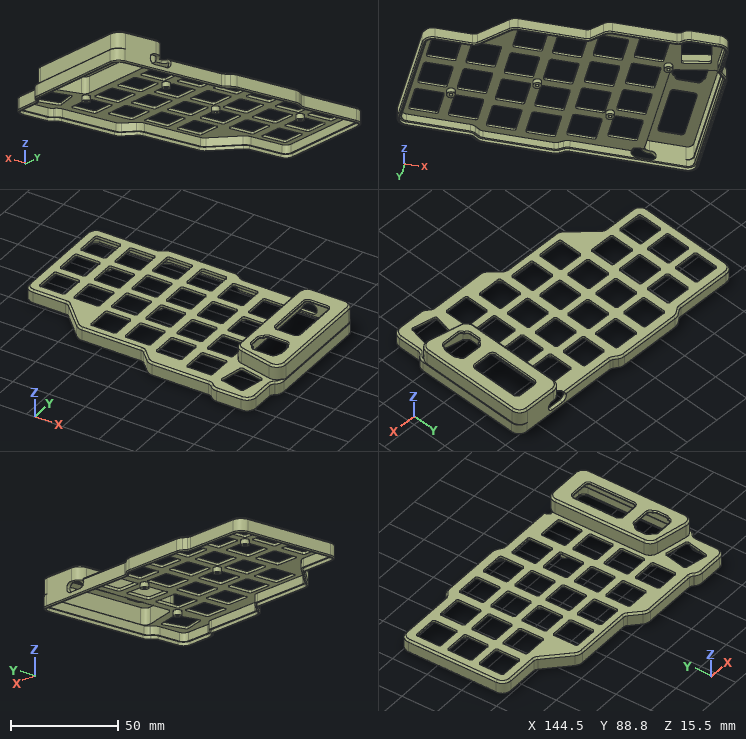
import cadquery as cq
import math

length_x = 144.5
length_y = 88.8
height = 15.5

plate_height = 7.5
plate_thickness = 1.5
wall = 2.0
rim_wall = 1.2
rim_depth = 1.7
top_chamfer = 1.0
bottom_chamfer = 0.6

corner_radius = 5.0
step_outer_radius = 5.5
step_inner_radius = 2.9
back_y = 86.0
left_front_y = 25.3
middle_front_y = 10.4
right_front_y = 2.9
left_step_x = 24.3
middle_step_x = 75.1
right_step_x = 117.0
thumb_side_x = 140.8
thumb_side_y = 18.5
right_side_y = 21.0
back_bump_left_x = 40.7
back_bump_right_x = 78.3
back_bump_slope_run = 4.2

key_size = 14.0
key_radius = 1.0
column_pitch = 18.9
row_pitch = 18.0
first_column_x = 12.3
columns = [(73.4, 3), (73.4, 3), (76.1, 4), (76.1, 4), (73.4, 4), (70.0, 4)]
thumb_key_centre = (127.7, 13.5)
thumb_angle = -12.0

block_left_x = 116.4
block_right_x = 144.2
block_left_front_y = 25.5
block_thickness = 1.0
opening_chamfer = 0.6
opening_radius = 1.7
window_centre = (130.0, 62.5)
window_length = 29.5
knob_centre = (130.0, 34.7)
knob_slot_centre = (129.5, 34.7)
knob_slot_length = 16.9
knob_slot_width = 10.1
knob_slot_radius = 2.0

post_diameter = 4.0
pilot_diameter = 1.6
post_bottom_z = 3.6
post_centres = [(21.8, 64.3), (59.7, 49.1), (97.5, 61.5), (116.9, 24.8)]

port_width = 12.0
port_left_x = 112.8
port_depth = 4.5
port_bottom_z = 2.6
port_top_z = 8.0
port_radius = 2.6


def rounded_outline(corners):
    """Closed wire at Z = 0 through (x, y, radius) corners listed in order."""
    points = [cq.Vector(x, y, 0) for x, y, _ in corners]
    arcs = []
    for i, corner in enumerate(points):
        radius = corners[i][2]
        to_previous = (points[i - 1] - corner).normalized()
        to_next = (points[(i + 1) % len(points)] - corner).normalized()
        half_angle = to_previous.getAngle(to_next) / 2
        setback = radius / math.tan(half_angle)
        bisector = (to_previous + to_next).normalized()
        middle = corner + bisector * (radius / math.sin(half_angle) - radius)
        arcs.append((corner + to_previous * setback, middle, corner + to_next * setback))
    edges = []
    for i, (start, middle, end) in enumerate(arcs):
        previous_end = arcs[i - 1][2]
        edges.append(cq.Edge.makeLine(previous_end, start))
        edges.append(cq.Edge.makeThreePointArc(start, middle, end))
    return cq.Wire.assembleEdges(edges)


def prism(wire, depth):
    """Upright solid over a closed wire."""
    return cq.Workplane(cq.Solid.extrudeLinear(wire, [], cq.Vector(0, 0, depth)))


def rounded_rectangle(size_x, size_y, radius):
    return cq.Sketch().rect(size_x, size_y).vertices().fillet(radius)


def key_cutter(centre, angle=0):
    """Cutter for one square key opening."""
    square = rounded_rectangle(key_size, key_size, key_radius)
    cutter = cq.Workplane("XY").placeSketch(square).extrude(height)
    return cutter.rotate((0, 0, 0), (0, 0, 1), angle).translate((*centre, 0))


def block_cutter(centre, size_x, size_y, radius):
    """Cutter for an opening in the block top; the sizes are across its chamfered edge."""
    mouth = rounded_rectangle(size_x, size_y, radius + opening_chamfer)
    throat = rounded_rectangle(size_x - 2 * opening_chamfer, size_y - 2 * opening_chamfer, radius)
    top_plane = cq.Workplane("XY", origin=(*centre, height))
    funnel = top_plane.placeSketch(mouth).extrude(-opening_chamfer, taper=45)
    return top_plane.placeSketch(throat).extrude(-height).union(funnel)


left_step_run = left_front_y - middle_front_y
middle_step_run = middle_front_y - right_front_y
right_step_run = right_front_y
plate_outline = rounded_outline(
    [
        (0, left_front_y, corner_radius),
        (left_step_x, left_front_y, step_inner_radius),
        (left_step_x + left_step_run, middle_front_y, step_outer_radius),
        (middle_step_x, middle_front_y, step_inner_radius),
        (middle_step_x + middle_step_run, right_front_y, step_outer_radius),
        (right_step_x, right_front_y, step_inner_radius),
        (right_step_x + right_step_run, 0, step_outer_radius),
        (thumb_side_x, 0, corner_radius),
        (thumb_side_x, thumb_side_y, step_inner_radius),
        (length_x, right_side_y, corner_radius),
        (length_x, back_y, corner_radius),
        (back_bump_right_x + back_bump_slope_run, back_y, step_inner_radius),
        (back_bump_right_x, length_y, step_outer_radius),
        (back_bump_left_x, length_y, step_outer_radius),
        (back_bump_left_x - back_bump_slope_run, back_y, step_inner_radius),
        (0, back_y, corner_radius),
    ]
)
plate = prism(plate_outline, plate_height)
plate = plate.faces(">Z").chamfer(top_chamfer).faces("<Z").chamfer(bottom_chamfer)

block_slope = math.tan(math.radians(thumb_angle))
block_right_front_y = block_left_front_y + block_slope * (block_right_x - block_left_x)
block_outline = rounded_outline(
    [
        (block_left_x, block_left_front_y, corner_radius),
        (block_right_x, block_right_front_y, corner_radius),
        (block_right_x, back_y, corner_radius),
        (block_left_x, back_y, corner_radius),
    ]
)
block_base_z = plate_height - top_chamfer
block = prism(block_outline, height - block_base_z).faces(">Z").chamfer(top_chamfer)
body = plate.union(block.translate((0, 0, block_base_z)))

for outline, margin, depth in [
    (plate_outline, rim_wall, rim_depth),
    (plate_outline, wall, plate_height - plate_thickness),
    (block_outline, wall, height - block_thickness),
]:
    body = body.cut(prism(outline.offset2D(-margin)[0], depth))

body = body.cut(block_cutter(window_centre, key_size, window_length, opening_radius))
body = body.cut(block_cutter(knob_centre, key_size, key_size, opening_radius))
body = body.cut(block_cutter(knob_slot_centre, knob_slot_length, knob_slot_width, knob_slot_radius))

for column, (back_key_y, key_count) in enumerate(columns):
    key_x = first_column_x + column * column_pitch
    for row in range(key_count):
        body = body.cut(key_cutter((key_x, back_key_y - row * row_pitch)))
body = body.cut(key_cutter(thumb_key_centre, thumb_angle))

posts = (
    cq.Workplane("XY", origin=(0, 0, post_bottom_z))
    .pushPoints(post_centres)
    .circle(post_diameter / 2)
    .circle(pilot_diameter / 2)
    .extrude(plate_height - plate_thickness - post_bottom_z)
)
body = body.union(posts)

port_height = port_top_z - port_bottom_z
port_centre = (port_left_x + port_width / 2, back_y, port_bottom_z + port_height / 2)
port = cq.Workplane("XY").box(port_width, 2 * port_depth, port_height).edges().fillet(port_radius)
result = body.cut(port.translate(port_centre)).solids()